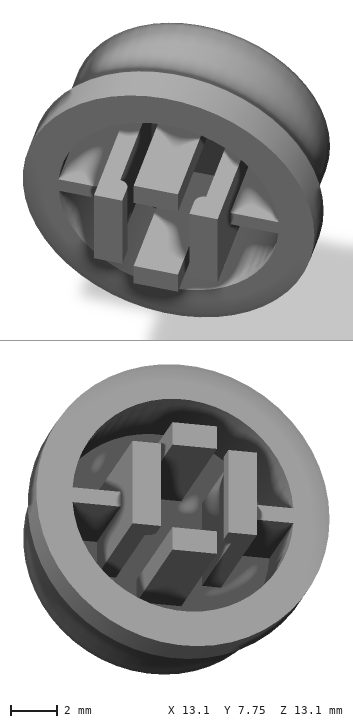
import cadquery as cq

flange_diameter = 13.06
flange_thickness = 1.6
flange_edge_radius = 0.1
cap_diameter = 11.5
cap_height = 5.7
cap_edge_radius = 0.39
bore_diameter = 9.86
floor_thickness = 1.5
bore_depth = cap_height - floor_thickness

leg_projection = 2.05
leg_length = bore_depth + leg_projection
clip_outer_x = 2.77
clip_stem_inner_x = 1.92
clip_hook_inner_x = 1.5
clip_width = 3.84
hook_length = 1.19
hook_radius = clip_stem_inner_x - clip_hook_inner_x
post_width = 1.99
post_inner_z = clip_width / 2
post_thickness = 1.05

rib_thickness = 0.69
rib_wall_overlap = 0.26


def disc(diameter, y_start, length):
    """Cylinder along +Y starting at y_start."""
    plane = cq.Workplane("XZ", origin=(0, y_start, 0))
    return plane.circle(diameter / 2).extrude(-length)


def block(x_min, x_max, y_min, y_max, z_min, z_max):
    """Axis-aligned box given by its limits."""
    size = (x_max - x_min, y_max - y_min, z_max - z_min)
    return cq.Workplane("XY").box(*size, centered=False).translate((x_min, y_min, z_min))


def make_cap():
    flange = disc(flange_diameter, 0, flange_thickness).faces(">Y").edges().fillet(flange_edge_radius)
    barrel = disc(cap_diameter, 0, cap_height).faces(">Y").edges().fillet(cap_edge_radius)
    return flange.union(barrel).cut(disc(bore_diameter, 0, bore_depth))


def make_clip():
    """Clip on the +X side, with a rounded hook facing the axis."""
    tip_y = -leg_projection
    hook_y = tip_y + hook_length
    profile = (
        cq.Workplane("XY")
        .moveTo(clip_outer_x, bore_depth)
        .lineTo(clip_outer_x, tip_y)
        .lineTo(clip_hook_inner_x, tip_y)
        .lineTo(clip_hook_inner_x, hook_y - hook_radius)
        .radiusArc((clip_stem_inner_x, hook_y), hook_radius)
        .lineTo(clip_stem_inner_x, bore_depth)
        .close()
    )
    return profile.extrude(clip_width / 2, both=True)


def make_post():
    """Plain rectangular post on the +Z side."""
    return block(
        -post_width / 2, post_width / 2,
        -leg_projection, bore_depth,
        post_inner_z, post_inner_z + post_thickness,
    )


def make_rib():
    """Rib from the +X clip to the bore wall."""
    return block(
        clip_outer_x, bore_diameter / 2 + rib_wall_overlap,
        0, bore_depth,
        -rib_thickness / 2, rib_thickness / 2,
    )


result = make_cap()
for feature, mirror_plane in ((make_clip(), "YZ"), (make_post(), "XY"), (make_rib(), "YZ")):
    result = result.union(feature).union(feature.mirror(mirror_plane))